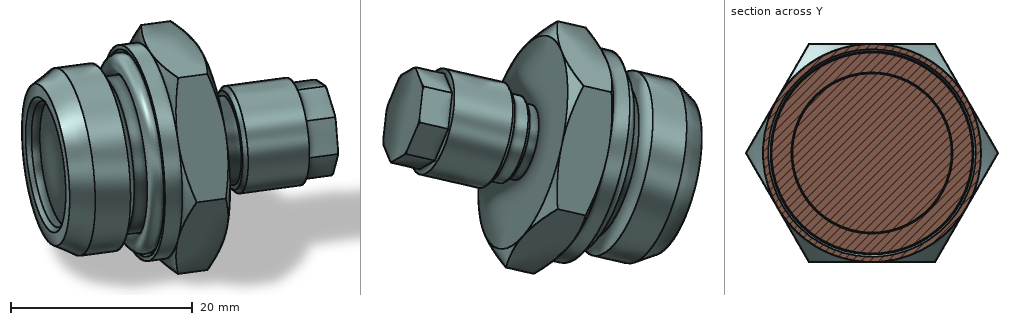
import cadquery as cq
import math


TOTAL_LENGTH = 32.0
NOSE_END = 2.5
PLUG_END = 6.55
RELIEF_START = 7.5
COLLAR_START = 10.05
HEX_START = 12.03
HEX_END = 17.55
NECK_END = 18.75
STEP_END = 20.95
SLEEVE_END = 28.48

NOSE_RADIUS = 9.0
PLUG_RADIUS = 10.43
RELIEF_RADIUS = 8.77
COLLAR_RADIUS = 12.0
NECK_RADIUS = 4.25
STEP_RADIUS = 4.95
SLEEVE_RADIUS = 6.0
STEP_CHAMFER = 0.4
SLEEVE_CHAMFER = 0.48

FACE_RECESS_MOUTH_RADIUS = 7.52
FACE_RECESS_FLOOR_RADIUS = 7.0
FACE_RECESS_DEPTH = 1.47

RING_SECTION_RADIUS = 1.2
RING_CENTER_RADIUS = 9.95
RING_CENTER_Y = 9.9
SEAT_DEPTH = 0.83
SEAT_MOUTH_RADIUS = 11.52
SEAT_FLOOR_RADIUS = 11.17

HEX_ACROSS_FLATS = 2 * COLLAR_RADIUS
HEX_CHAMFER_ANGLE = 30.0
OCTAGON_CORNER_RADIUS = 5.45
OCTAGON_TURN = 7.8
OCTAGON_CHAMFER = 0.13


def revolve_profile(points):
    """Turn a closed (radius, y) outline about the Y axis."""
    outline = cq.Workplane("XY").polyline(points).close()
    return outline.revolve(360, (0, 0, 0), (0, 1, 0))


def prism(sides, corner_radius, start, end):
    """Regular prism along Y with one pair of corners on the X axis."""
    plane = cq.Workplane("XZ", origin=(0, end, 0))
    return plane.polygon(sides, 2 * corner_radius).extrude(end - start)


def turned_body():
    seat_floor = COLLAR_START + SEAT_DEPTH
    recess_chamfer = FACE_RECESS_MOUTH_RADIUS - FACE_RECESS_FLOOR_RADIUS
    return revolve_profile([
        (0, FACE_RECESS_DEPTH),
        (FACE_RECESS_FLOOR_RADIUS, FACE_RECESS_DEPTH),
        (FACE_RECESS_FLOOR_RADIUS, recess_chamfer),
        (FACE_RECESS_MOUTH_RADIUS, 0),
        (NOSE_RADIUS, 0),
        (PLUG_RADIUS, NOSE_END),
        (PLUG_RADIUS, PLUG_END),
        (RELIEF_RADIUS, RELIEF_START),
        (RELIEF_RADIUS, seat_floor),
        (SEAT_FLOOR_RADIUS, seat_floor),
        (SEAT_MOUTH_RADIUS, COLLAR_START),
        (COLLAR_RADIUS, COLLAR_START),
        (COLLAR_RADIUS, HEX_START),
        (NECK_RADIUS, HEX_START),
        (NECK_RADIUS, NECK_END),
        (STEP_RADIUS - STEP_CHAMFER, NECK_END),
        (STEP_RADIUS, NECK_END + STEP_CHAMFER),
        (STEP_RADIUS, STEP_END),
        (SLEEVE_RADIUS - SLEEVE_CHAMFER, STEP_END),
        (SLEEVE_RADIUS, STEP_END + SLEEVE_CHAMFER),
        (SLEEVE_RADIUS, SLEEVE_END),
        (0, SLEEVE_END),
    ])


def sealing_ring():
    section = cq.Workplane("XY").center(RING_CENTER_RADIUS, RING_CENTER_Y).circle(RING_SECTION_RADIUS)
    return section.revolve(360, (-RING_CENTER_RADIUS, 0, 0), (-RING_CENTER_RADIUS, 1, 0))


def hexagon():
    """Hexagon whose corners are turned off conically at both ends."""
    flat_radius = HEX_ACROSS_FLATS / 2
    corner_radius = flat_radius / math.cos(math.pi / 6)
    slope = math.tan(math.radians(HEX_CHAMFER_ANGLE))
    chamfer_length = (corner_radius - flat_radius) * slope
    envelope = revolve_profile([
        (0, HEX_START),
        (flat_radius, HEX_START),
        (corner_radius, HEX_START + chamfer_length),
        (corner_radius, HEX_END - chamfer_length),
        (flat_radius, HEX_END),
        (0, HEX_END),
    ])
    return prism(6, corner_radius, HEX_START, HEX_END).intersect(envelope)


def octagon_end():
    """Turned octagon with its corners broken at the outer end."""
    envelope = revolve_profile([
        (0, SLEEVE_END),
        (OCTAGON_CORNER_RADIUS, SLEEVE_END),
        (OCTAGON_CORNER_RADIUS, TOTAL_LENGTH - OCTAGON_CHAMFER),
        (OCTAGON_CORNER_RADIUS - OCTAGON_CHAMFER, TOTAL_LENGTH),
        (0, TOTAL_LENGTH),
    ])
    octagon = prism(8, OCTAGON_CORNER_RADIUS, SLEEVE_END, TOTAL_LENGTH)
    return octagon.intersect(envelope).rotate((0, 0, 0), (0, 1, 0), OCTAGON_TURN)


result = turned_body().union(hexagon()).union(sealing_ring()).union(octagon_end())